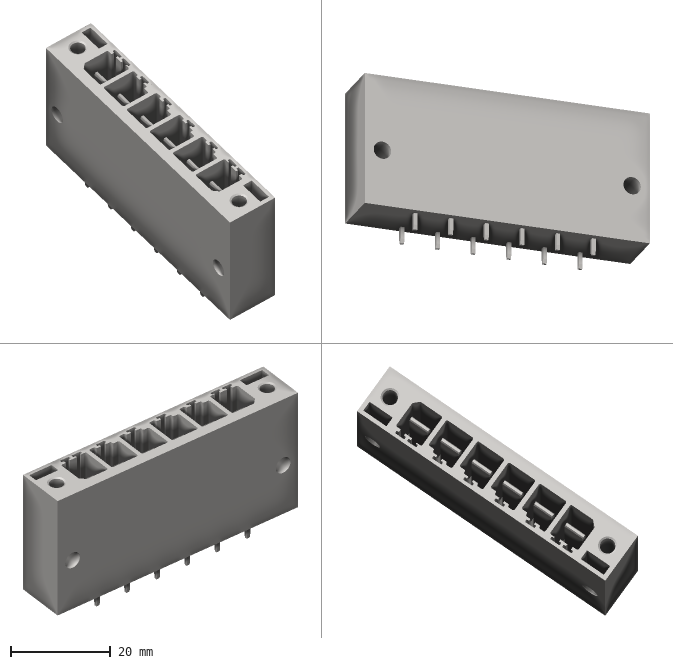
import cadquery as cq

LENGTH = 60.95
DEPTH = 11.4
HEIGHT = 28.3

POLES = 6
PITCH = 7.6
POLE_X = [PITCH * (i - (POLES - 1) / 2) for i in range(POLES)]

SOCKET_WIDTH = 6.65
SOCKET_FLOOR_Z = 7.3
SOCKET_FRONT_Y = -3.25
SOCKET_CORNER_RADIUS = 0.35

INNER_LEFT_Y = 4.45
INNER_MIDDLE_Y = 3.9
INNER_RIGHT_Y = 3.2
INNER_STEP_X = 1.8
INNER_STEP_RADIUS = 0.25

END_OUTER_Y = 3.7
END_MIDDLE_Y = 3.9
END_INNER_Y = 4.15
END_CHAMFER = 1.15
END_KEYWAY_X = 1.45

KEYWAY_NECK_WIDTH = 1.2
KEYWAY_HEAD_WIDTH = 2.3
KEYWAY_HEAD_FRONT_Y = 4.4
KEYWAY_REAR_Y = 5.0
KEYWAY_CORNER_RADIUS = 0.2

BLADE_WIDTH = 4.45
BLADE_THICKNESS = 1.0
BLADE_TIP_Z = 25.3
BLADE_TIP_FLAT = 0.55
BLADE_TIP_TAPER = 0.5
PIN_WIDTH = 0.8
PIN_THICKNESS = 0.9
PIN_Y = 3.85
PIN_PROJECTION = 3.55
PIN_TIP_FLAT = 0.55
PIN_TIP_TAPER = 1.0
BRIDGE_BOTTOM_Z = 2.45
BRIDGE_TOP_Z = 4.9

MOUNT_X = 26.7
SLEEVE_Z = 12.0
SLEEVE_DIAMETER = 4.9
SLEEVE_BORE = 3.7
SLEEVE_FRONT_WALL = 3.05
SLEEVE_REAR_WALL = 0.85
SLEEVE_FRONT_Y = -DEPTH / 2 + SLEEVE_FRONT_WALL
SLEEVE_REAR_Y = DEPTH / 2 - SLEEVE_REAR_WALL
SCREW_HOLE_Y = -0.5
SCREW_HOLE_DIAMETER = 3.1
SCREW_HOLE_CHAMFER_WIDTH = 0.35
SCREW_HOLE_CHAMFER_DEPTH = 0.25
SLOT_WIDTH = 5.65
SLOT_DEPTH_Y = 2.2


def box(x0, x1, y0, y1, z0, z1):
    """Axis-aligned box between two opposite corners."""
    return cq.Workplane("XY").box(x1 - x0, y1 - y0, z1 - z0, centered=False).translate((x0, y0, z0))


def y_cylinder(x, diameter, y0, y1):
    """Cylinder along Y at the height of the sleeves."""
    return (
        cq.Workplane("XZ", origin=(x, y0, SLEEVE_Z))
        .circle(diameter / 2)
        .extrude(y0 - y1)
    )


def keyway(x):
    """T-shaped groove in the rear wall; its neck reaches forward to the middle of a socket."""
    half_neck = KEYWAY_NECK_WIDTH / 2
    half_head = KEYWAY_HEAD_WIDTH / 2
    neck = box(x - half_neck, x + half_neck, 0, KEYWAY_REAR_Y, SOCKET_FLOOR_Z, HEIGHT)
    head = (
        box(x - half_head, x + half_head, KEYWAY_HEAD_FRONT_Y, KEYWAY_REAR_Y, SOCKET_FLOOR_Z, HEIGHT)
        .edges("|Z")
        .fillet(KEYWAY_CORNER_RADIUS)
    )
    return neck.union(head)


def socket_pocket(step_x, left_y, middle_y, right_y):
    """Upright pocket centred on X = 0, its rear wall stepped at -step_x and +step_x."""
    half = SOCKET_WIDTH / 2
    outline = [
        (-half, SOCKET_FRONT_Y),
        (half, SOCKET_FRONT_Y),
        (half, right_y),
        (step_x, right_y),
        (step_x, middle_y),
        (-step_x, middle_y),
        (-step_x, left_y),
        (-half, left_y),
    ]
    return (
        cq.Workplane("XY", origin=(0, 0, SOCKET_FLOOR_Z))
        .polyline(outline)
        .close()
        .extrude(HEIGHT - SOCKET_FLOOR_Z)
    )


def inner_socket():
    """Pocket of an inner pole, with one keyway and its two rear steps rounded."""
    pocket = (
        socket_pocket(INNER_STEP_X, INNER_LEFT_Y, INNER_MIDDLE_Y, INNER_RIGHT_Y)
        .edges("|Z").edges("not (<X or >X)")
        .fillet(INNER_STEP_RADIUS)
        .edges("(<X or >X) and |Z")
        .fillet(SOCKET_CORNER_RADIUS)
    )
    return pocket.union(keyway(0))


def end_socket():
    """Pocket of the pole at the -X end, with two keyways and a chamfered outer front corner."""
    pocket = (
        socket_pocket(END_KEYWAY_X, END_OUTER_Y, END_MIDDLE_Y, END_INNER_Y)
        .edges("|Z").edges("<X").edges("<Y")
        .chamfer(END_CHAMFER)
        .edges("|Z").edges(">X")
        .fillet(SOCKET_CORNER_RADIUS)
        .edges("|Z").edges("<X").edges(">Y")
        .fillet(SOCKET_CORNER_RADIUS)
    )
    return pocket.union(keyway(-END_KEYWAY_X)).union(keyway(END_KEYWAY_X))


def sleeve_seat(x):
    """Seat that holds a sleeve, closed at both faces except for the bore."""
    seat = y_cylinder(x, SLEEVE_DIAMETER, SLEEVE_FRONT_Y, SLEEVE_REAR_Y)
    return seat.union(y_cylinder(x, SLEEVE_BORE, -DEPTH / 2, DEPTH / 2))


def screw_hole(x):
    """Chamfered vertical hole from the top down to the sleeve."""
    hole = (
        cq.Workplane("XY", origin=(x, SCREW_HOLE_Y, SLEEVE_Z))
        .circle(SCREW_HOLE_DIAMETER / 2)
        .extrude(HEIGHT - SLEEVE_Z)
    )
    countersink = (
        cq.Workplane("XY", origin=(x, SCREW_HOLE_Y, HEIGHT))
        .circle(SCREW_HOLE_DIAMETER / 2 + SCREW_HOLE_CHAMFER_WIDTH)
        .workplane(offset=-SCREW_HOLE_CHAMFER_DEPTH)
        .circle(SCREW_HOLE_DIAMETER / 2)
        .loft()
    )
    return hole.union(countersink)


def rear_slot(x):
    """Rectangular slot over the rear end of a sleeve, from the top down to the sleeve's underside."""
    return box(
        x - SLOT_WIDTH / 2, x + SLOT_WIDTH / 2,
        SLEEVE_REAR_Y - SLOT_DEPTH_Y, SLEEVE_REAR_Y,
        SLEEVE_Z - SLEEVE_DIAMETER / 2, HEIGHT,
    )


def make_sleeve(x):
    """Plain tube along Y at a mounting end."""
    tube = y_cylinder(x, SLEEVE_DIAMETER, SLEEVE_FRONT_Y, SLEEVE_REAR_Y)
    return tube.cut(y_cylinder(x, SLEEVE_BORE, SLEEVE_FRONT_Y, SLEEVE_REAR_Y))


def tapered_bar(x, y, width, thickness, base_z, tip_z, tip_flat, taper):
    """Upright or hanging bar whose thickness in Y narrows towards the tip."""
    shoulder_z = tip_z - taper if tip_z > base_z else tip_z + taper
    profile = [
        (y - thickness / 2, base_z),
        (y + thickness / 2, base_z),
        (y + thickness / 2, shoulder_z),
        (y + tip_flat / 2, tip_z),
        (y - tip_flat / 2, tip_z),
        (y - thickness / 2, shoulder_z),
    ]
    return (
        cq.Workplane("YZ", origin=(x, 0, 0))
        .polyline(profile)
        .close()
        .extrude(width / 2, both=True)
    )


def make_contact(x):
    """Blade standing on a bridge that joins the front and rear solder pins."""
    contact = box(
        x - PIN_WIDTH / 2, x + PIN_WIDTH / 2,
        -PIN_Y - PIN_THICKNESS / 2, PIN_Y + PIN_THICKNESS / 2,
        BRIDGE_BOTTOM_Z, BRIDGE_TOP_Z,
    )
    for y in (-PIN_Y, PIN_Y):
        contact = contact.union(tapered_bar(
            x, y, PIN_WIDTH, PIN_THICKNESS,
            BRIDGE_TOP_Z, -PIN_PROJECTION, PIN_TIP_FLAT, PIN_TIP_TAPER,
        ))
    return contact.union(tapered_bar(
        x, 0, BLADE_WIDTH, BLADE_THICKNESS,
        BRIDGE_BOTTOM_Z, BLADE_TIP_Z, BLADE_TIP_FLAT, BLADE_TIP_TAPER,
    ))


def make_housing(contacts):
    """Block with the sockets, the mounting features and a close fit around each contact."""
    housing = box(-LENGTH / 2, LENGTH / 2, -DEPTH / 2, DEPTH / 2, 0, HEIGHT)
    for x in POLE_X[1:-1]:
        housing = housing.cut(inner_socket().translate((x, 0, 0)))
    first_socket = end_socket().translate((POLE_X[0], 0, 0))
    housing = housing.cut(first_socket).cut(first_socket.mirror("YZ"))
    for x in (-MOUNT_X, MOUNT_X):
        housing = housing.cut(sleeve_seat(x)).cut(screw_hole(x)).cut(rear_slot(x))
    for contact in contacts:
        housing = housing.cut(contact)
    return housing


contacts = [make_contact(x) for x in POLE_X]
sleeves = [make_sleeve(x) for x in (-MOUNT_X, MOUNT_X)]
housing = make_housing(contacts)

result = cq.Compound.makeCompound([
    housing.val(),
    *[contact.val() for contact in contacts],
    *[sleeve.val() for sleeve in sleeves],
])